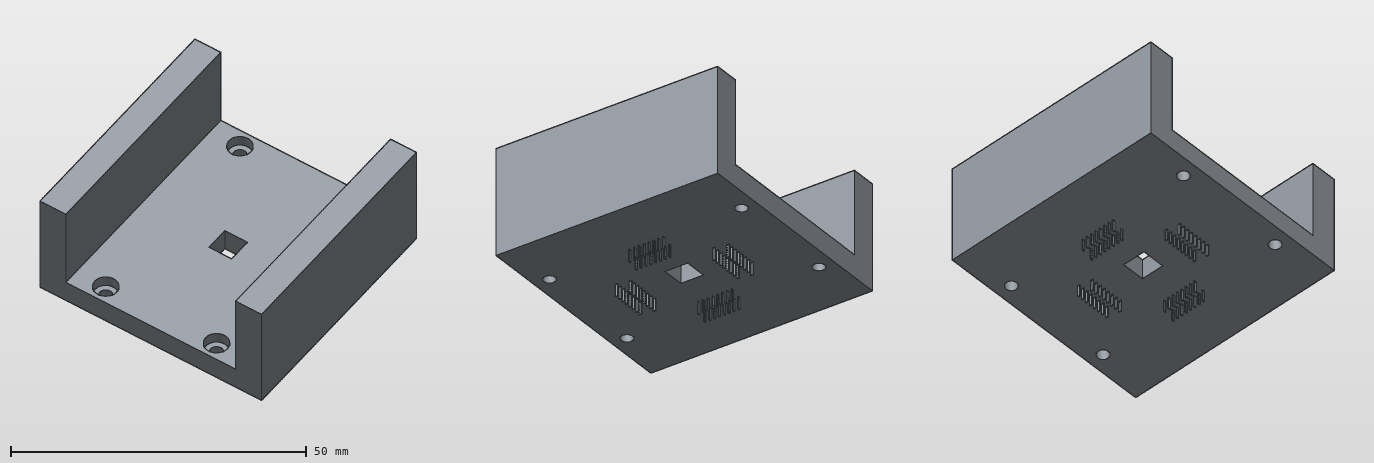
import cadquery as cq

side = 45.7
overall_height = 23.8
body_height = 21.35
wall_thickness = 5.35
floor_thickness = 4.5

window_side = 4.65

hole_diameter = 2.4
counterbore_diameter = 4.5
counterbore_depth = 2.1
hole_spacing_x = 22.85
hole_spacing_y = 39.6

pin_length = overall_height - body_height
pins_per_side = 16
pin_pitch = 0.5
pin_width = 0.19
pin_depth = 0.5
row_spacing = 2.55
inner_row_offset_x = 8.85
inner_row_offset_y = 8.8


def make_channel():
    """U-shaped body, open at both Y ends, with its underside at Z = 0."""
    block = cq.Workplane("XY").box(side, side, body_height, centered=(True, True, False))
    trough_width = side - 2 * wall_thickness
    trough_height = body_height - floor_thickness
    trough = (
        cq.Workplane("XY", origin=(0, 0, floor_thickness))
        .box(trough_width, side, trough_height, centered=(True, True, False))
    )
    return block.cut(trough)


def cut_window(body):
    """Square opening through the floor, centred on the body."""
    window = cq.Workplane("XY").rect(window_side, window_side).extrude(floor_thickness)
    return body.cut(window)


def cut_mounting_holes(body):
    """Four through holes, counterbored from the top of the floor."""
    return (
        body.copyWorkplane(cq.Workplane("XY", origin=(0, 0, floor_thickness)))
        .rect(hole_spacing_x, hole_spacing_y, forConstruction=True)
        .vertices()
        .cboreHole(hole_diameter, counterbore_diameter, counterbore_depth)
    )


def make_side_pins(inner_row_offset, angle):
    """Staggered pins of one side, laid out on the -Y side and turned about Z."""
    outer_row_offset = inner_row_offset + row_spacing
    first_pin = -(pins_per_side - 1) * pin_pitch / 2
    positions = [first_pin + i * pin_pitch for i in range(pins_per_side)]
    inner_row = [(along, -inner_row_offset) for along in positions[0::2]]
    outer_row = [(along, -outer_row_offset) for along in positions[1::2]]
    return (
        cq.Workplane("XY")
        .pushPoints(inner_row + outer_row)
        .rect(pin_width, pin_depth)
        .extrude(-pin_length)
        .rotate((0, 0, 0), (0, 0, 1), angle)
    )


def add_pins(body):
    """Pins on the two Y sides and the two X sides of the underside."""
    for angle in (0, 180):
        body = body.union(make_side_pins(inner_row_offset_y, angle))
    for angle in (90, 270):
        body = body.union(make_side_pins(inner_row_offset_x, angle))
    return body


channel = make_channel()
channel = cut_window(channel)
channel = cut_mounting_holes(channel)
result = add_pins(channel)